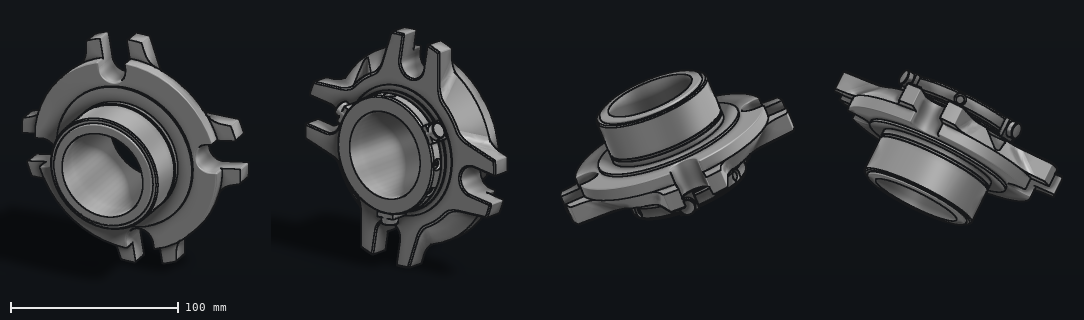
import cadquery as cq
import math


bore_radius = 54.0 / 2
nose_radius = 65.9 / 2
nose_end = -38.5
nose_round = 1.0
sleeve_radius = 71.7 / 2
sleeve_end = -36.8
groove_radius = 70.0 / 2
sleeve_bevel = sleeve_radius - groove_radius
groove_front = -14.5
groove_back = -12.7
raised_radius = 90.4 / 2
raised_face = -9.3
flange_radius = 60.9
flange_face = -7.7
flange_round = 0.9

lug_radius = 73.0
plate_back = 12.4
plate_bevel = 0.9
corner_round = 0.9
lug_groups = 4
pitch_angle = 360.0 / lug_groups
slot_angle = 9.5
slot_width = 18.0
slot_end_radius = 56.1
gap_angle = slot_angle + pitch_angle / 2
gap_tip_half_angle = 30.1
flank_angle = 54.5
flank_fillet = 7.3

disc_radius = 80.6 / 2
disc_back = 13.3
collar_radius = 73.2 / 2
collar_back = 14.3
retainer_radius = 74.6 / 2
retainer_back = 15.6
neck_radius = 57.1 / 2
ring_front = 17.1
ring_back = 26.5
ring_radius = 73.2 / 2
ring_bevel_radius = 71.7 / 2
ring_bevel_length = 1.5

cut_margin = 1.5
gap_reach_margin = 14.6
fit_tolerance = 0.01

screw_y = 21.8
recess_mouth_radius = 3.8
recess_floor_radius = 5.0 / 2
recess_depth = 1.5
set_screw_angles = (90, 210, 330)
slotted_screw_angle = 180
driver_slot_width = 1.3
driver_slot_depth = 0.7
clip_angles = (30, 150, 270)
clip_width = 11.8
clip_inner = 36.1
clip_outer = 39.3
hook_inner = 34.9
head_radius = 10.0 / 2
head_outer = 43.5
head_bevel = 0.5

port_left = 22.6
port_top = 11.5
port_end_radius = 3.8 / 2
port_end_x = 33.7
port_end_y = 3.4
port_slant_angle = 45.0
port_floor_z = 30.7


def turned(points):
    """Solid of revolution about Y from (radius, y) points."""
    return cq.Workplane("XY").polyline(points).close().revolve(360, (0, 0, 0), (0, 1, 0))


def disc(radius, y_start, y_end):
    return cq.Workplane("XZ", origin=(0, y_start, 0)).circle(radius).extrude(y_start - y_end)


def turn_to(shape, angle):
    """Turn a shape built along +X to an angle in the XZ plane, counted from +X toward +Z."""
    return shape.rotate((0, 0, 0), (0, 1, 0), -angle)


def axis_distance(edge):
    """Distance of an edge's middle from the part axis."""
    center = edge.Center()
    return math.hypot(center.x, center.z)


def slot_cutter():
    """Radial slot with a round inner end, through plate and flange."""
    length = lug_radius
    y_start = flange_face - cut_margin
    y_end = plate_back + cut_margin
    straight = (
        cq.Workplane("XZ", origin=(slot_end_radius + length / 2, y_start, 0))
        .rect(length, slot_width)
        .extrude(y_start - y_end)
    )
    round_end = disc(slot_width / 2, y_start, y_end).translate((slot_end_radius, 0, 0))
    return straight.union(round_end)


def gap_cutter():
    """Space between two lug groups: a 45 degree cone below, lug flanks at the sides."""
    reach = lug_radius + gap_reach_margin
    y_end = plate_back + cut_margin
    outside_cone = turned(
        [(flange_radius, 0), (reach, 0), (reach, y_end), (flange_radius - y_end, y_end)]
    )
    tip_x = lug_radius * math.cos(math.radians(gap_tip_half_angle))
    tip_z = lug_radius * math.sin(math.radians(gap_tip_half_angle))
    flank_slope = math.tan(math.radians(flank_angle))
    apex_x = tip_x - tip_z / flank_slope
    end_z = (reach - apex_x) * flank_slope
    wedge = (
        cq.Workplane("XZ")
        .polyline([(apex_x, 0), (reach, -end_z), (reach, end_z)])
        .close()
        .extrude(-y_end)
    )
    gap = outside_cone.intersect(wedge)
    cone_flank_edges = [e for e in gap.edges().vals() if e.geomType() not in ("LINE", "CIRCLE")]
    return gap.newObject(cone_flank_edges).fillet(flank_fillet)


def flange_and_lugs():
    body = disc(lug_radius, 0, plate_back).union(disc(flange_radius, flange_face, 0))
    for group in range(lug_groups):
        body = body.cut(turn_to(gap_cutter(), gap_angle + group * pitch_angle))
        body = body.cut(turn_to(slot_cutter(), slot_angle + group * pitch_angle))
    corners = [
        e for e in body.edges("|Y").vals()
        if abs(axis_distance(e) - lug_radius) < fit_tolerance
        or (abs(axis_distance(e) - flange_radius) < fit_tolerance and e.Center().y < 0)
    ]
    body = body.newObject(corners).fillet(corner_round)
    body = body.faces("<Y").edges().fillet(flange_round)
    return body.faces(">Y").edges().chamfer(plate_bevel)


def port_cutter():
    """Open port: a three-sided pocket with a round lower corner, sunk along -Z."""
    slant = math.radians(port_slant_angle)
    tangent_x = port_end_x - port_end_radius * math.sin(slant)
    tangent_y = port_end_y - port_end_radius * math.cos(slant)
    return (
        cq.Workplane("XY", origin=(0, 0, port_floor_z))
        .moveTo(port_left, port_top)
        .lineTo(tangent_x, tangent_y)
        .threePointArc(
            (port_end_x, port_end_y - port_end_radius),
            (port_end_x + port_end_radius, port_end_y),
        )
        .lineTo(port_end_x + port_end_radius, port_top)
        .close()
        .extrude(lug_radius)
    )


def sleeve_and_back():
    """Turned core: front sleeve, raised face, back discs, neck and set ring."""
    core = turned([
        (bore_radius, nose_end),
        (nose_radius, nose_end),
        (nose_radius, sleeve_end),
        (sleeve_radius - sleeve_bevel, sleeve_end),
        (sleeve_radius, sleeve_end + sleeve_bevel),
        (sleeve_radius, groove_front),
        (groove_radius, groove_front),
        (groove_radius, groove_back),
        (sleeve_radius, groove_back),
        (sleeve_radius, raised_face),
        (raised_radius, raised_face),
        (raised_radius, 0),
        (disc_radius, 0),
        (disc_radius, disc_back),
        (collar_radius, disc_back),
        (collar_radius, collar_back),
        (retainer_radius, collar_back),
        (retainer_radius, retainer_back),
        (neck_radius, retainer_back),
        (neck_radius, ring_front),
        (ring_bevel_radius, ring_front),
        (ring_radius, ring_front + ring_bevel_length),
        (ring_radius, ring_back - ring_bevel_length),
        (ring_bevel_radius, ring_back),
        (bore_radius, ring_back),
    ])
    return core.faces("<Y").edges(cq.selectors.RadiusNthSelector(-1)).fillet(nose_round)


def clip_with_screw():
    """Setting clip with its hook and cap screw head, built along +X."""
    plate = cq.Workplane("XY").box(
        clip_outer - clip_inner, ring_back - disc_back, clip_width, centered=(False, False, True)
    ).translate((clip_inner, disc_back, 0))
    hook = cq.Workplane("XY").box(
        clip_inner - hook_inner, ring_front - retainer_back, clip_width, centered=(False, False, True)
    ).translate((hook_inner, retainer_back, 0))
    head = (
        cq.Workplane("YZ", origin=(clip_inner, screw_y, 0))
        .circle(head_radius)
        .extrude(head_outer - clip_inner)
        .faces(">X")
        .chamfer(head_bevel)
    )
    return plate.union(hook).union(head)


def recess_cutter():
    """Tapered set screw recess, built along +X."""
    return (
        cq.Workplane("YZ", origin=(ring_radius - recess_depth, screw_y, 0))
        .circle(recess_floor_radius)
        .workplane(offset=recess_depth)
        .circle(recess_mouth_radius)
        .loft()
    )


def driver_slot_cutter():
    """Screwdriver slot along Y in the floor of a recess, built along +X."""
    floor = ring_radius - recess_depth
    blade = cq.Workplane("XY").box(2 * driver_slot_depth, 2 * recess_floor_radius, driver_slot_width)
    return blade.translate((floor, screw_y, 0))


bore = disc(bore_radius, nose_end, ring_back)
result = flange_and_lugs().cut(bore).union(sleeve_and_back())
result = result.cut(port_cutter())
for angle in clip_angles:
    result = result.union(turn_to(clip_with_screw(), angle))
for angle in (*set_screw_angles, slotted_screw_angle):
    result = result.cut(turn_to(recess_cutter(), angle))
result = result.cut(turn_to(driver_slot_cutter(), slotted_screw_angle))